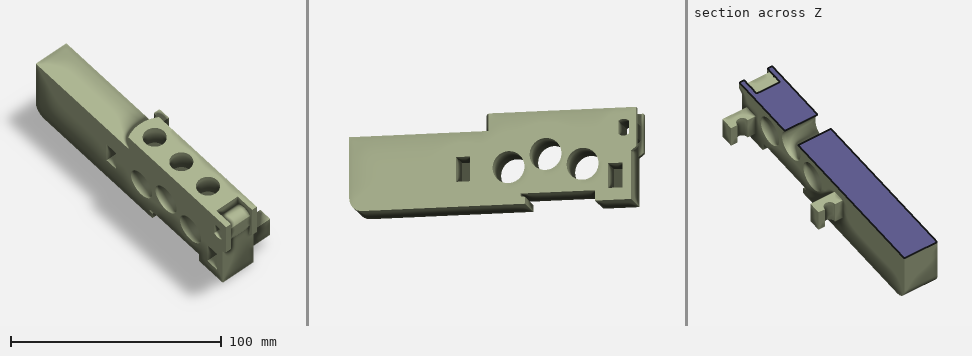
import cadquery as cq

length = 139.5
height = 44.6
thickness = 19.1
low_height = 36.1
corner_radius = 6.3

head_side_x = 67.8
head_bow = 2.7

recess_start = 85.4
recess_end = 119.4
recess_depth = 5.0
undercut_length = 2.1
lip_height = 3.3
lip_root_height = 3.8

rear_wall_x = 137.0
overhang_bottom = 25.5
overhang_depth = length - rear_wall_x
overhang_slope_height = 2.0

bore_diameter = 15.5
bore_pitch = 18.0
bore_middle_x = 95.4
bore_middle_z = 23.7
bore_outer_z = 18.1

socket_diameter = 11.5
socket_pitch = 19.5
socket_middle_x = bore_middle_x
socket_depth = 11.2

peg_length = 14.0
peg_height = 12.0
front_peg_x, front_peg_z, front_peg_width = 51.9, 12.1, 6.8
rear_peg_x, rear_peg_z, rear_peg_width = 125.7, 5.9, 7.3
peg_notch_radius = 2.9
peg_notch_inset = 0.1
peg_notch_offset = 7.4

cheek_thickness = 2.9
fork_x = 128.9
bar_x = 133.4
bar_z = 35.0
bar_radius = 5.9
bar_end_x = 138.0
slot_width = 5.2
slot_radius = 4.0


def box(x, y, z, dx, dy, dz):
    """Box with its lowest corner at (x, y, z)."""
    return cq.Workplane("XY").box(dx, dy, dz, centered=False).translate((x, y, z))


def cross_cylinder(x, z, radius, y_start, y_end):
    """Cylinder along Y."""
    circle = cq.Workplane("XZ", origin=(x, y_start, z)).circle(radius)
    return circle.extrude(y_start - y_end)


def body():
    undercut_x = recess_start - undercut_length
    side = (
        cq.Workplane("XZ")
        .moveTo(0, 0)
        .lineTo(recess_start, 0)
        .lineTo(recess_start, lip_height)
        .lineTo(undercut_x, lip_root_height)
        .lineTo(undercut_x, recess_depth)
        .lineTo(recess_end, recess_depth)
        .lineTo(recess_end, 0)
        .lineTo(rear_wall_x, 0)
        .lineTo(rear_wall_x, overhang_bottom - overhang_slope_height)
        .lineTo(length, overhang_bottom)
        .lineTo(length, low_height)
        .lineTo(0, low_height)
        .close()
        .extrude(-thickness)
    )
    side = side.edges("|Y and <X and <Z").fillet(corner_radius)
    head = (
        cq.Workplane("XY", origin=(0, 0, low_height))
        .moveTo(length, 0)
        .lineTo(length, thickness)
        .lineTo(head_side_x, thickness)
        .threePointArc((head_side_x - head_bow, thickness / 2), (head_side_x, 0))
        .close()
        .extrude(height - low_height)
    )
    return side.union(head)


def peg(x, z, width):
    block = box(x, thickness, z, width, peg_length, peg_height)
    notch = (
        cq.Workplane("XY", origin=(x + peg_notch_inset, thickness + peg_notch_offset, z))
        .circle(peg_notch_radius)
        .extrude(peg_height)
    )
    return block.cut(notch)


def fork_gap():
    """Space between the cheeks, less the rounded bar that stays in it."""
    inner_back_y = thickness - cheek_thickness
    gap_width = inner_back_y - cheek_thickness
    gap_bottom = bar_z - bar_radius
    gap = box(fork_x, cheek_thickness, gap_bottom, length - fork_x, gap_width, height - gap_bottom)
    below = box(rear_wall_x, cheek_thickness, 0, overhang_depth, gap_width, gap_bottom)
    bar = cross_cylinder(bar_x, bar_z, bar_radius, cheek_thickness, inner_back_y)
    bar = bar.intersect(box(fork_x, 0, 0, bar_end_x - fork_x, thickness, height))
    return gap.union(below).cut(bar)


def slot():
    """Slot through cheeks and bar: a round hole narrowed by two flat sides."""
    hole = cross_cylinder(bar_x, bar_z, slot_radius, 0, thickness)
    return hole.intersect(box(bar_x - slot_width / 2, 0, 0, slot_width, thickness, height))


def bores():
    tools = cq.Workplane("XY")
    for step, z in ((-1, bore_outer_z), (0, bore_middle_z), (1, bore_outer_z)):
        x = bore_middle_x + step * bore_pitch
        tools = tools.add(cross_cylinder(x, z, bore_diameter / 2, 0, thickness))
    return tools.combine()


def top_sockets():
    return (
        cq.Workplane("XY", origin=(socket_middle_x, thickness / 2, height))
        .pushPoints([(step * socket_pitch, 0) for step in (-1, 0, 1)])
        .circle(socket_diameter / 2)
        .extrude(-socket_depth)
    )


result = body().cut(fork_gap()).cut(slot()).cut(bores()).cut(top_sockets())

for x, z, width in (
    (front_peg_x, front_peg_z, front_peg_width),
    (rear_peg_x, rear_peg_z, rear_peg_width),
):
    peg_socket = box(x, 0, z, width, peg_length, peg_height)
    result = result.cut(peg_socket).union(peg(x, z, width))